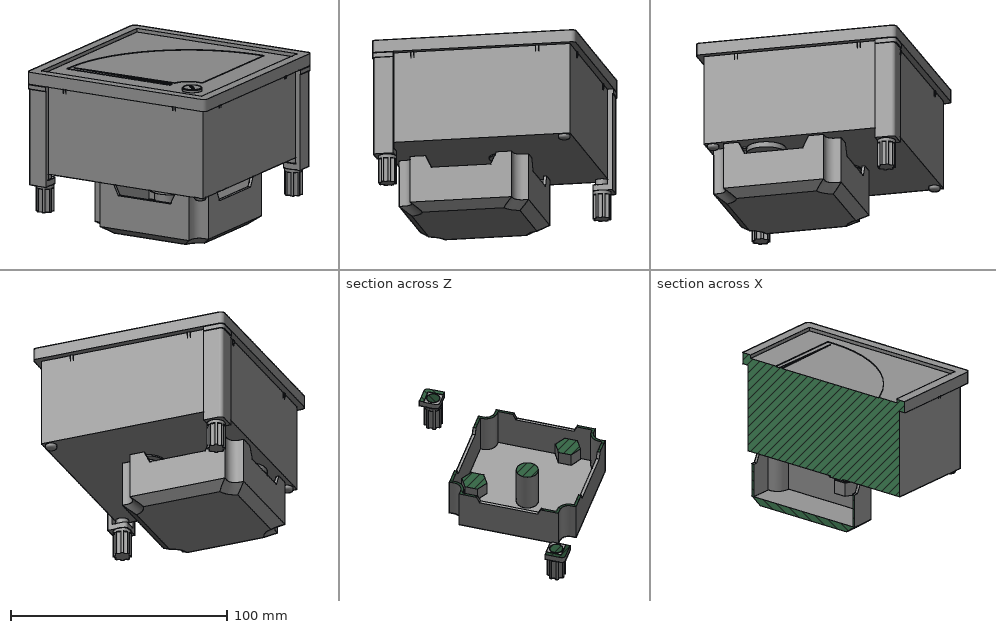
import cadquery as cq
import math


BEZEL_SIDE = 96.0
BEZEL_DEPTH = 5.8
BEZEL_CORNER_RADIUS = 2.1
RIM_WIDTH = 4.9
DIAL_DEPTH = 1.7
CASE_SIDE = 89.9
CASE_DEPTH = 48.5

PIVOT = (28.1, -28.2)
SCALE_OUTER_REACH = 66.3
SCALE_INNER_REACH = 10.9
SCALE_STRAIGHT = 2.3
SCALE_RECESS = 0.3
NEEDLE_TIP = (-36.3, -25.1)
NEEDLE_BASE_WIDTH = 2.1

ADJUSTER_CENTER = (30.8, -30.9)
ADJUSTER_RADIUS = 4.6
ADJUSTER_HEIGHT = 1.4
ADJUSTER_CHAMFER = 0.4
ADJUSTER_SLOT_LENGTH = 5.4
ADJUSTER_SLOT_WIDTH = 1.1
ADJUSTER_SLOT_DEPTH = 0.5
ADJUSTER_SLOT_ANGLE = -45.0

LATCH_OFFSET = 29.5
LATCH_WIDTH = 1.4
LATCH_REACH = 0.4
LATCH_RAMP_START_DEPTH = 7.1
LATCH_END_DEPTH = 8.5

COVER_SIDE = 61.2
COVER_CENTER = 12.1
COVER_END_DEPTH = 74.0
COVER_TAPER_DEPTH = 70.3
COVER_TAPER_INSET = 5.1
COVER_NOTCH = 6.6
COVER_NOTCH_RADIUS = 4.1
COVER_WALL = 1.4
WINDOW_TOP_WIDTH = 33.5
WINDOW_BOTTOM_WIDTH = 27.9
WINDOW_END_DEPTH = 54.1

TERMINAL_OFFSETS = (-7.6, 27.3)
WASHER_RADIUS = 8.4
WASHER_END_DEPTH = 49.2
COLLAR_RADIUS = 5.1
COLLAR_END_DEPTH = 51.0
NUT_SIDE = 6.1
NUT_END_DEPTH = 57.6
POST_CENTER = (6.4, -13.8)
POST_RADIUS = 5.2
BOSS_NEAR = 18.8
BOSS_FAR = 31.3
BOSS_RADIUS = 9.1
FOOT_OFFSET = 41.5
FOOT_RADIUS = 2.7
FOOT_HEIGHT = 1.8
FOOT_ROUNDING = 1.2

CLAMP_HALF_SIDE = 47.5
CLAMP_CORNER_RADIUS = 1.7
CLAMP_INNER_HALF_SIDE = 45.3
CLAMP_LEG_END = 38.0
CLAMP_START_DEPTH = 6.0
CLAMP_LIP_END_DEPTH = 8.2
CLAMP_PLATE_DEPTH = 51.4
CLAMP_END_DEPTH = 54.1
CLAMP_PLATE_RADIUS = 1.5
CLAMP_ANGLES = (0, 180)

SCREW_OFFSET = 41.9
SCREW_STEM_RADIUS = 3.1
SCREW_RADIUS = 4.2
SCREW_FLANGE_END_DEPTH = 55.8
SCREW_END_DEPTH = 67.0
FLUTE_COUNT = 8
FLUTE_RADIUS = 1.2
FLUTE_CENTER_RADIUS = 4.5


def square_prism(side, start_depth, end_depth):
    """Square block on the case axis between two depths."""
    return cq.Workplane("XY").workplane(offset=-end_depth).rect(side, side).extrude(end_depth - start_depth)


def cylinder(center, radius, start_depth, end_depth):
    """Upright cylinder between two depths."""
    height = end_depth - start_depth
    return cq.Workplane("XY").workplane(offset=-end_depth).center(*center).circle(radius).extrude(height)


def scale_window():
    """Quarter-ring recess in the dial, with the tapered needle left standing in it."""
    px, py = PIVOT
    left, top = px - SCALE_OUTER_REACH, py + SCALE_OUTER_REACH
    inner_left, inner_top = px - SCALE_INNER_REACH, py + SCALE_INNER_REACH
    outer_radius = SCALE_OUTER_REACH - SCALE_STRAIGHT
    inner_radius = SCALE_INNER_REACH - SCALE_STRAIGHT
    ring = (
        cq.Workplane("XY")
        .workplane(offset=-DIAL_DEPTH - SCALE_RECESS)
        .moveTo(inner_left, py)
        .lineTo(left, py)
        .lineTo(left, py + SCALE_STRAIGHT)
        .radiusArc((px - SCALE_STRAIGHT, top), outer_radius)
        .lineTo(px, top)
        .lineTo(px, inner_top)
        .lineTo(px - SCALE_STRAIGHT, inner_top)
        .radiusArc((inner_left, py + SCALE_STRAIGHT), -inner_radius)
        .close()
        .extrude(SCALE_RECESS)
    )
    tip_x, needle_y = NEEDLE_TIP
    base_x = px - SCALE_STRAIGHT
    base_half = NEEDLE_BASE_WIDTH / 2 * (base_x - tip_x) / (px - SCALE_INNER_REACH - tip_x)
    needle = (
        cq.Workplane("XY")
        .workplane(offset=-DIAL_DEPTH - SCALE_RECESS)
        .polyline([NEEDLE_TIP, (base_x, needle_y - base_half), (base_x, needle_y + base_half)])
        .close()
        .extrude(SCALE_RECESS)
    )
    return ring.cut(needle)


def adjuster():
    """Slotted zero-adjusting screw head standing on the dial."""
    top_depth = DIAL_DEPTH - ADJUSTER_HEIGHT
    head = cylinder(ADJUSTER_CENTER, ADJUSTER_RADIUS, top_depth, DIAL_DEPTH)
    head = head.faces(">Z").chamfer(ADJUSTER_CHAMFER)
    slot = (
        cq.Workplane("XY")
        .workplane(offset=-top_depth - ADJUSTER_SLOT_DEPTH)
        .center(*ADJUSTER_CENTER)
        .transformed(rotate=(0, 0, ADJUSTER_SLOT_ANGLE))
        .rect(ADJUSTER_SLOT_LENGTH, ADJUSTER_SLOT_WIDTH)
        .extrude(ADJUSTER_SLOT_DEPTH)
    )
    return head.cut(slot)


def latch(offset):
    """Snap latch on the -Y side of the case, ramped at its lower end."""
    wall = -CASE_SIDE / 2
    return (
        cq.Workplane("YZ")
        .workplane(offset=offset - LATCH_WIDTH / 2)
        .moveTo(wall, -BEZEL_DEPTH)
        .lineTo(wall - LATCH_REACH, -BEZEL_DEPTH)
        .lineTo(wall - LATCH_REACH, -LATCH_RAMP_START_DEPTH)
        .lineTo(wall, -LATCH_END_DEPTH)
        .close()
        .extrude(LATCH_WIDTH)
    )


def terminal(offset):
    """Washer trimmed to the inside of the cover, collar and hexagon nut on the diagonal of the case."""
    center = (offset, -offset)
    washer = cylinder(center, WASHER_RADIUS, CASE_DEPTH, WASHER_END_DEPTH)
    washer = washer.intersect(notched_prism(COVER_WALL, CASE_DEPTH, WASHER_END_DEPTH))
    collar = cylinder(center, COLLAR_RADIUS, CASE_DEPTH, COLLAR_END_DEPTH)
    nut = (
        cq.Workplane("XY")
        .workplane(offset=-NUT_END_DEPTH)
        .center(*center)
        .transformed(rotate=(0, 0, 90))
        .polygon(6, 2 * NUT_SIDE)
        .extrude(NUT_END_DEPTH - COLLAR_END_DEPTH)
    )
    return washer.union(collar).union(nut)


def foot(x, y):
    """Small domed foot under the case."""
    pad = cylinder((x, y), FOOT_RADIUS, CASE_DEPTH, CASE_DEPTH + FOOT_HEIGHT)
    return pad.faces("<Z").edges().fillet(FOOT_ROUNDING)


def make_housing():
    """Case and bezel with dial, latches, terminals and bosses."""
    bezel = square_prism(BEZEL_SIDE, 0, BEZEL_DEPTH).edges("|Z").fillet(BEZEL_CORNER_RADIUS)
    body = bezel.union(square_prism(CASE_SIDE, BEZEL_DEPTH, CASE_DEPTH))
    body = body.cut(square_prism(BEZEL_SIDE - 2 * RIM_WIDTH, 0, DIAL_DEPTH))
    body = body.cut(scale_window()).union(adjuster())
    for side_angle in (0, 90, 180, 270):
        for offset in (-LATCH_OFFSET, LATCH_OFFSET):
            body = body.union(latch(offset).rotate((0, 0, 0), (0, 0, 1), side_angle))
    for offset in TERMINAL_OFFSETS:
        body = body.union(terminal(offset))
    for center in ((BOSS_NEAR, -BOSS_FAR), (BOSS_FAR, -BOSS_NEAR)):
        body = body.union(cylinder(center, BOSS_RADIUS, CASE_DEPTH, COLLAR_END_DEPTH))
    body = body.union(cylinder(POST_CENTER, POST_RADIUS, CASE_DEPTH, COVER_TAPER_DEPTH))
    for sign in (-1, 1):
        body = body.union(foot(sign * FOOT_OFFSET, -sign * FOOT_OFFSET))
    return body


def tapered_prism(center, side, radius, start_depth, end_depth, side_inset):
    """Square prism with rounded upright edges whose sides move inward by the inset at its lower end."""
    height = end_depth - start_depth
    profile = cq.Sketch().rect(side, side)
    if radius > 0:
        profile = profile.vertices().fillet(radius)
    taper = math.degrees(math.atan2(side_inset, height))
    plane = cq.Workplane("XY").workplane(offset=-start_depth).center(*center)
    return plane.placeSketch(profile).extrude(-height, taper=taper)


def notched_prism(wall, start_depth, end_depth, side_inset=0.0):
    """Cover block with a notch in each corner, its outline lying one wall inside the cover."""
    middle = (COVER_CENTER, -COVER_CENTER)
    block = tapered_prism(middle, COVER_SIDE - 2 * wall, 0, start_depth, end_depth, side_inset)
    half = COVER_SIDE / 2
    notch_side = 2 * (COVER_NOTCH + wall)
    for x in (COVER_CENTER - half, COVER_CENTER + half):
        for y in (-COVER_CENTER - half, -COVER_CENTER + half):
            notch = tapered_prism(
                (x, y), notch_side, COVER_NOTCH_RADIUS + wall, start_depth, end_depth, -side_inset
            )
            block = block.cut(notch)
    return block


def window():
    """Trapezoidal opening that runs through the whole cover along Y."""
    top_half = WINDOW_TOP_WIDTH / 2
    bottom_half = WINDOW_BOTTOM_WIDTH / 2
    return (
        cq.Workplane("XZ")
        .polyline([
            (-top_half, -CASE_DEPTH),
            (top_half, -CASE_DEPTH),
            (bottom_half, -WINDOW_END_DEPTH),
            (-bottom_half, -WINDOW_END_DEPTH),
        ])
        .close()
        .extrude(COVER_SIDE / 2, both=True)
    )


def make_cover():
    """Hollow terminal cover, open towards the case, with a window in each wall."""
    shell = notched_prism(0, CASE_DEPTH, COVER_TAPER_DEPTH)
    shell = shell.union(notched_prism(0, COVER_TAPER_DEPTH, COVER_END_DEPTH, COVER_TAPER_INSET))
    shell = shell.cut(notched_prism(COVER_WALL, CASE_DEPTH, COVER_TAPER_DEPTH))
    for angle in (0, 90):
        opening = window().rotate((0, 0, 0), (0, 0, 1), angle)
        shell = shell.cut(opening.translate((COVER_CENTER, -COVER_CENTER, 0)))
    return shell


def make_clamp(angle):
    """L-shaped corner clamp with a foot plate under the case, at the -X, -Y corner before turning."""
    limit_center = -CLAMP_LEG_END - BEZEL_SIDE / 2
    leg_limit = square_prism(BEZEL_SIDE, 0, CLAMP_END_DEPTH).translate((limit_center, limit_center, 0))
    bar = square_prism(2 * CLAMP_HALF_SIDE, CLAMP_START_DEPTH, CLAMP_END_DEPTH)
    bar = bar.edges("|Z").fillet(CLAMP_CORNER_RADIUS)
    lip = square_prism(BEZEL_SIDE, CLAMP_START_DEPTH, CLAMP_LIP_END_DEPTH)
    lip = lip.edges("|Z").fillet(BEZEL_CORNER_RADIUS)
    clamp = bar.union(lip).intersect(leg_limit).edges("|Z and >X and >Y").fillet(CLAMP_PLATE_RADIUS)
    clamp = clamp.cut(square_prism(2 * CLAMP_INNER_HALF_SIDE, CLAMP_START_DEPTH, CLAMP_PLATE_DEPTH))
    hole = cylinder((-SCREW_OFFSET, -SCREW_OFFSET), SCREW_STEM_RADIUS, CLAMP_PLATE_DEPTH, CLAMP_END_DEPTH)
    return clamp.cut(hole).rotate((0, 0, 0), (0, 0, 1), angle)


def make_clamp_screw(angle):
    """Screw through the clamp plate against the case, with a flange and a fluted grip."""
    center = (-SCREW_OFFSET, -SCREW_OFFSET)
    screw = cylinder(center, SCREW_STEM_RADIUS, CASE_DEPTH, CLAMP_END_DEPTH)
    screw = screw.union(cylinder(center, SCREW_RADIUS, CLAMP_END_DEPTH, SCREW_END_DEPTH))
    flutes = (
        cq.Workplane("XY")
        .workplane(offset=-SCREW_END_DEPTH)
        .center(*center)
        .polarArray(FLUTE_CENTER_RADIUS, 0, 360, FLUTE_COUNT)
        .circle(FLUTE_RADIUS)
        .extrude(SCREW_END_DEPTH - SCREW_FLANGE_END_DEPTH)
    )
    return screw.cut(flutes).rotate((0, 0, 0), (0, 0, 1), angle)


housing = make_housing()
cover = make_cover()
clamps = [make_clamp(angle) for angle in CLAMP_ANGLES]
clamp_screws = [make_clamp_screw(angle) for angle in CLAMP_ANGLES]

result = cq.Compound.makeCompound(
    [housing.val(), cover.val()]
    + [clamp.val() for clamp in clamps]
    + [screw.val() for screw in clamp_screws]
)